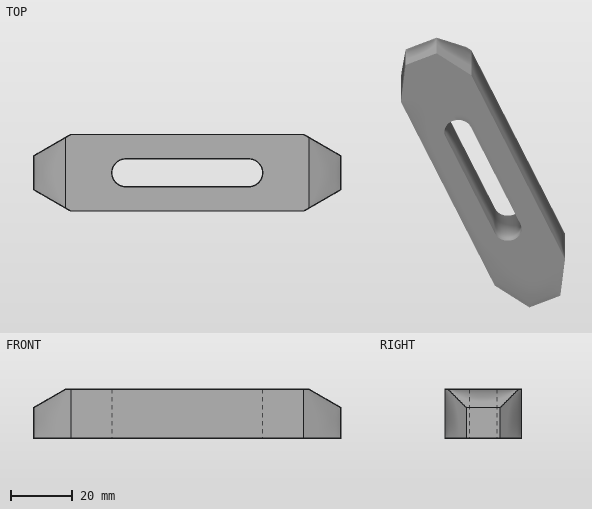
import cadquery as cq
import math

length = 100.0
width = 25.0
height = 16.0

nose_width = 11.0
nose_height = 10.0
taper_angle = math.radians(30)
side_taper_length = (width - nose_width) / 2 / math.tan(taper_angle)
top_taper_length = (height - nose_height) / math.tan(taper_angle)

slot_width = 9.0
slot_center_distance = 40.0
slot_length = slot_center_distance + slot_width


def tapered_plan():
    """Bar with both ends narrowed symmetrically in plan."""
    end = length / 2
    shoulder = end - side_taper_length
    outline = [
        (-end, -nose_width / 2),
        (-shoulder, -width / 2),
        (shoulder, -width / 2),
        (end, -nose_width / 2),
        (end, nose_width / 2),
        (shoulder, width / 2),
        (-shoulder, width / 2),
        (-end, nose_width / 2),
    ]
    return cq.Workplane("XY").polyline(outline).close().extrude(height)


def sloped_profile():
    """Side profile with the top sloping down to both ends."""
    end = length / 2
    crest = end - top_taper_length
    outline = [
        (-end, 0),
        (end, 0),
        (end, nose_height),
        (crest, height),
        (-crest, height),
        (-end, nose_height),
    ]
    return cq.Workplane("XZ").polyline(outline).close().extrude(width / 2, both=True)


def clamping_slot():
    """Round-ended slot through the full height."""
    return cq.Workplane("XY").slot2D(slot_length, slot_width).extrude(height)


result = tapered_plan().intersect(sloped_profile()).cut(clamping_slot())